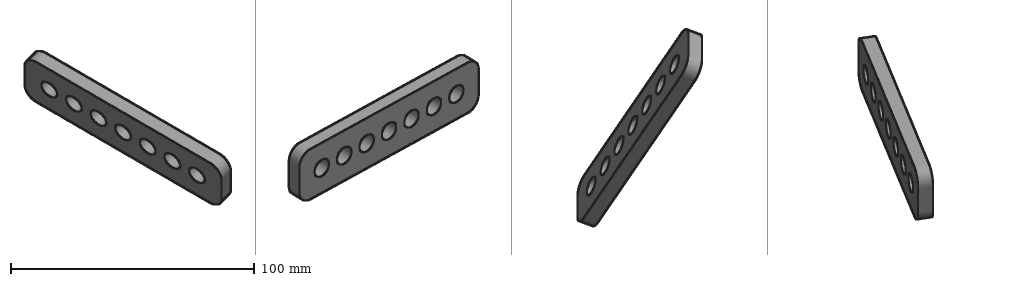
import cadquery as cq

length = 101.6
hole_count = 7
hole_diameter = 8.1

hole_pitch = length / (hole_count + 1)
height = 2 * hole_pitch
thickness = hole_pitch / 2
corner_radius = hole_pitch / 2

plate = (
    cq.Workplane("XY")
    .box(length, thickness, height)
    .edges("|Y")
    .fillet(corner_radius)
)

result = (
    plate.faces("<Y")
    .workplane(centerOption="CenterOfBoundBox")
    .rarray(hole_pitch, 1, hole_count, 1)
    .hole(hole_diameter)
)